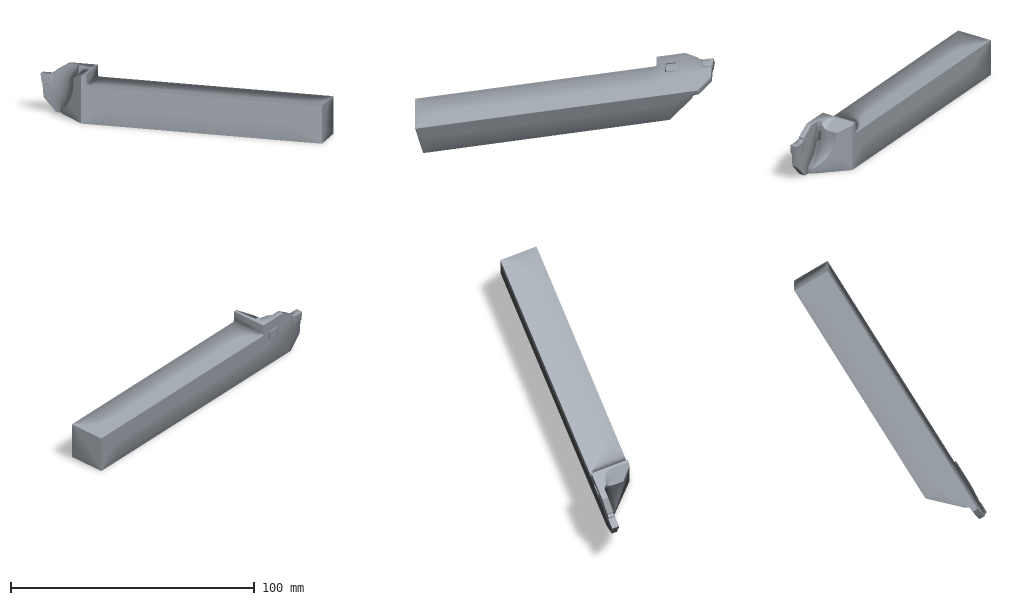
import cadquery as cq
import math

length = 125.0
shank = 16.0
head_height = 21.0
blade_thickness = 2.5
margin = 6.2

step_x = 23.9
step_fillet = 0.8
crest_x = 11.8
clamp_nose_x = 6.1
clamp_nose_z = 17.4
support_x = 0.8
heel_x = 1.2
heel_z = 6.0
toe_x = 6.8
bevel_end_x = 21.6

insert_length = 20.2
insert_width = 3.0
tip_length = 4.4
tip_taper = 0.6
tip_relief = 0.5
insert_bottom = 12.1
tip_top = shank
bar_top = 16.6
insert_center_y = -blade_thickness / 2

seat_depth = 3.6

scoop_x = 16.9
scoop_radius = 16.9
scoop_sweep = 50.0
scoop_foot_radius = 3.2
scoop_edge_chamfer = 1.0

relief_angle = 30.0
relief_z = 17.6
relief_side_y = -3.6
relief_radius = 4.0


def front_plane(y):
    """Workplane at the given Y with local axes X and Z, extruding toward -Y."""
    return cq.Workplane("XZ", origin=(0, y, 0))


def head_blank():
    blank = (
        front_plane(0)
        .moveTo(support_x, insert_bottom)
        .lineTo(heel_x, heel_z)
        .lineTo(toe_x, 0)
        .lineTo(length, 0)
        .lineTo(length, shank)
        .lineTo(step_x, shank)
        .lineTo(step_x, head_height)
        .lineTo(crest_x, head_height)
        .lineTo(clamp_nose_x, clamp_nose_z)
        .lineTo(clamp_nose_x, insert_bottom)
        .close()
        .extrude(shank)
    )
    corner = cq.selectors.NearestToPointSelector((step_x, -shank / 2, shank))
    return blank.edges(corner).fillet(step_fillet)


def bevel_cutter():
    """Everything in front of the 45 degree face, outside the blade."""
    return (
        cq.Workplane("XY", origin=(0, 0, -margin))
        .moveTo(bevel_end_x - shank + blade_thickness, -blade_thickness)
        .lineTo(bevel_end_x + margin, -shank - margin)
        .lineTo(-margin, -shank - margin)
        .lineTo(-margin, -blade_thickness)
        .close()
        .extrude(head_height + 2 * margin)
    )


def arc_point(center, radius, angle):
    """Point on a circle in the XZ plane, angle in degrees from +X toward +Z."""
    return (
        center[0] + radius * math.cos(math.radians(angle)),
        center[1] + radius * math.sin(math.radians(angle)),
    )


def scoop_cutter():
    """Curved wall running along Y, with a chamfer where it meets the blade."""
    wall_center = (scoop_x - scoop_radius, shank)
    foot_center = arc_point(wall_center, scoop_radius + scoop_foot_radius, -scoop_sweep)
    foot = arc_point(foot_center, scoop_foot_radius, 180)
    foot_middle = arc_point(foot_center, scoop_foot_radius, 180 - scoop_sweep / 2)
    turn = arc_point(wall_center, scoop_radius, -scoop_sweep)
    wall_middle = arc_point(wall_center, scoop_radius, -scoop_sweep / 2)
    cutter = (
        front_plane(-blade_thickness)
        .moveTo(-margin, -margin)
        .lineTo(foot[0], -margin)
        .lineTo(*foot)
        .threePointArc(foot_middle, turn)
        .threePointArc(wall_middle, (scoop_x, shank))
        .lineTo(scoop_x, head_height + margin)
        .lineTo(-margin, head_height + margin)
        .close()
        .extrude(shank)
    )
    return cutter.faces(">Y").chamfer(scoop_edge_chamfer)


def relief_cutter():
    """Block lying on the slope, its lower inner edge rounded."""
    size = 2 * shank
    return (
        cq.Workplane("XY")
        .box(size, size, size, centered=(True, False, False))
        .edges("|X and >Y and <Z")
        .fillet(relief_radius)
        .translate((0, relief_side_y - size, 0))
        .rotate((0, 0, 0), (0, 1, 0), -relief_angle)
        .translate((scoop_x, 0, relief_z))
    )


def seat_cutter():
    return cq.Workplane("XY", origin=(0, -seat_depth, insert_bottom)).box(
        insert_length, seat_depth, bar_top - insert_bottom, centered=False
    )


def make_holder():
    return (
        head_blank()
        .cut(bevel_cutter())
        .cut(scoop_cutter())
        .cut(relief_cutter())
        .cut(seat_cutter())
    )


def make_insert():
    shoulder = tip_length + tip_taper
    side = (
        front_plane(insert_center_y + insert_width / 2)
        .moveTo(tip_relief, insert_bottom)
        .lineTo(0, tip_top)
        .lineTo(tip_length, tip_top)
        .lineTo(shoulder, bar_top)
        .lineTo(insert_length - shoulder, bar_top)
        .lineTo(insert_length - tip_length, tip_top)
        .lineTo(insert_length, tip_top)
        .lineTo(insert_length - tip_relief, insert_bottom)
        .close()
        .extrude(insert_width)
    )
    half_tip = insert_width / 2
    half_bar = blade_thickness / 2
    plan = (
        cq.Workplane("XY", origin=(0, insert_center_y, insert_bottom))
        .moveTo(0, half_tip)
        .lineTo(tip_length, half_tip)
        .lineTo(shoulder, half_bar)
        .lineTo(insert_length - shoulder, half_bar)
        .lineTo(insert_length - tip_length, half_tip)
        .lineTo(insert_length, half_tip)
        .lineTo(insert_length, 0)
        .lineTo(0, 0)
        .close()
        .extrude(bar_top - insert_bottom)
    )
    outline = plan.union(plan.mirror("XZ", (0, insert_center_y, 0)))
    return side.intersect(outline)


holder = make_holder()
insert = make_insert()

result = cq.Compound.makeCompound([holder.val(), insert.val()])